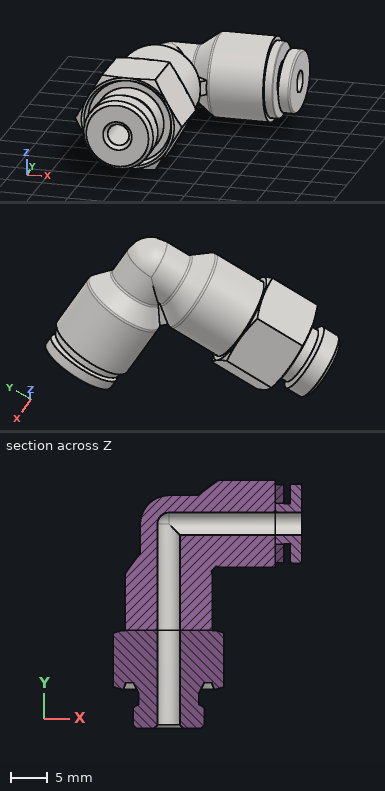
import cadquery as cq
import math


overall_length = 33.6
overall_width = 25.5

arm_diameter = 11.8
bend_diameter = 7.73
taper_start = 3.9
taper_end = 6.65
taper_fillet = 0.5
arm_length = 14.4
bore_diameter = 3.0
web_thickness = 2.0
web_leg = 12.2

hex_flats = 13.0
hex_corners = hex_flats / math.cos(math.pi / 6)
hex_length = 8.0
hex_corner_drop = 0.35
recess_mouth_diameter = 12.25
recess_floor_diameter = 11.6
recess_depth = 0.9
neck_diameter = 8.2
neck_start = 22.9
flare_diameter = 9.6
thread_diameter = 9.75
thread_lead_in = 0.4
thread_length = 2.9
thread_chamfer = 0.5
bore_mouth_diameter = 4.03
bore_mouth_depth = 0.5
stud_end = overall_length - arm_diameter / 2
hex_end = arm_length + hex_length
lead_in_end = stud_end - thread_length
lead_in_start = lead_in_end - thread_lead_in

collar_diameter = 10.6
collar_end = 15.6
collar_fillet = 0.1
sleeve_neck_diameter = 5.5
button_start = 16.43
button_end = overall_width - hex_corners / 2
button_width = 10.8
button_height = 8.6
button_fillet = 0.25
sleeve_neck_fillet = 0.1


def rod_x(diameter, start, end):
    """Cylinder on the X axis between two positions."""
    return cq.Workplane("YZ").workplane(offset=start).circle(diameter / 2).extrude(end - start)


def rod_y(diameter, start, end):
    """Cylinder on the -Y axis between two distances from the origin."""
    return cq.Workplane("XZ").workplane(offset=start).circle(diameter / 2).extrude(end - start)


def turned_y(profile):
    """Solid turned about the -Y axis from (radius, distance) points."""
    points = [(radius, -distance) for radius, distance in profile]
    return cq.Workplane("XY").polyline(points).close().revolve(360, (0, 0, 0), (0, 1, 0))


def elbow_arm():
    """One arm along -Y: thin round part, rounded taper and thick end."""
    arm = turned_y([
        (0, 0),
        (bend_diameter / 2, 0),
        (bend_diameter / 2, taper_start),
        (arm_diameter / 2, taper_end),
        (arm_diameter / 2, arm_length),
        (0, arm_length),
    ])
    taper_rims = arm.edges("%CIRCLE").edges(">>Y[1] or >>Y[2]")
    return taper_rims.fillet(taper_fillet)


def elbow_housing():
    """Two equal arms joined by a ball at the bend, a web in the inner corner and a bent bore."""
    stud_arm = elbow_arm()
    tube_arm = stud_arm.rotate((0, 0, 0), (0, 0, 1), 90)
    ball = cq.Workplane("XY").sphere(bend_diameter / 2)
    web = (
        cq.Workplane("XY")
        .polyline([(0, 0), (0, -web_leg), (web_leg, 0)])
        .close()
        .extrude(web_thickness / 2, both=True)
    )
    bore = (
        cq.Workplane("XY").sphere(bore_diameter / 2)
        .union(rod_y(bore_diameter, 0, arm_length))
        .union(rod_x(bore_diameter, 0, arm_length))
    )
    return stud_arm.union(tube_arm).union(ball).union(web).cut(bore)


def hexagon():
    """Hexagon with chamfered corners at both ends and a shallow recess around the neck."""
    prism = cq.Workplane("XZ").workplane(offset=arm_length).polygon(6, hex_corners).extrude(hex_length)
    corner_cone = turned_y([
        (0, arm_length),
        (hex_flats / 2, arm_length),
        (hex_corners / 2, arm_length + hex_corner_drop),
        (hex_corners / 2, hex_end - hex_corner_drop),
        (hex_flats / 2, hex_end),
        (0, hex_end),
    ])
    recess = turned_y([
        (0, hex_end - recess_depth),
        (recess_floor_diameter / 2, hex_end - recess_depth),
        (recess_mouth_diameter / 2, hex_end),
        (0, hex_end),
    ])
    return prism.intersect(corner_cone).cut(recess)


def threaded_stud():
    """Hexagon, flared neck and chamfered thread blank with a countersunk bore."""
    recess_floor = hex_end - recess_depth
    shank = turned_y([
        (0, recess_floor),
        (flare_diameter / 2, recess_floor),
        (neck_diameter / 2, neck_start),
        (neck_diameter / 2, lead_in_start),
        (thread_diameter / 2, lead_in_end),
        (thread_diameter / 2, stud_end - thread_chamfer),
        (thread_diameter / 2 - thread_chamfer, stud_end),
        (0, stud_end),
    ])
    countersink = turned_y([
        (0, stud_end - bore_mouth_depth),
        (bore_diameter / 2, stud_end - bore_mouth_depth),
        (bore_mouth_diameter / 2, stud_end),
        (0, stud_end),
    ])
    bore = rod_y(bore_diameter, arm_length, stud_end)
    return hexagon().union(shank).cut(bore).cut(countersink)


def collar_ring():
    """Plain ring on the tube end of the elbow, with a rounded outer rim."""
    ring = rod_x(collar_diameter, arm_length, collar_end).faces(">X").edges().fillet(collar_fillet)
    return ring.cut(rod_x(sleeve_neck_diameter, arm_length, collar_end))


def release_sleeve():
    """Round neck through the collar and an elliptical push button."""
    neck = rod_x(sleeve_neck_diameter, arm_length, button_start)
    button = (
        cq.Workplane("YZ").workplane(offset=button_start)
        .ellipse(button_width / 2, button_height / 2)
        .extrude(button_end - button_start)
        .faces(">X").edges().fillet(button_fillet)
    )
    sleeve = neck.union(button)
    sleeve = sleeve.edges("%CIRCLE").edges(">>X").fillet(sleeve_neck_fillet)
    return sleeve.cut(rod_x(bore_diameter, arm_length, button_end))


housing = elbow_housing()
stud = threaded_stud()
collar = collar_ring()
sleeve = release_sleeve()

result = cq.Compound.makeCompound([housing.val(), stud.val(), collar.val(), sleeve.val()])